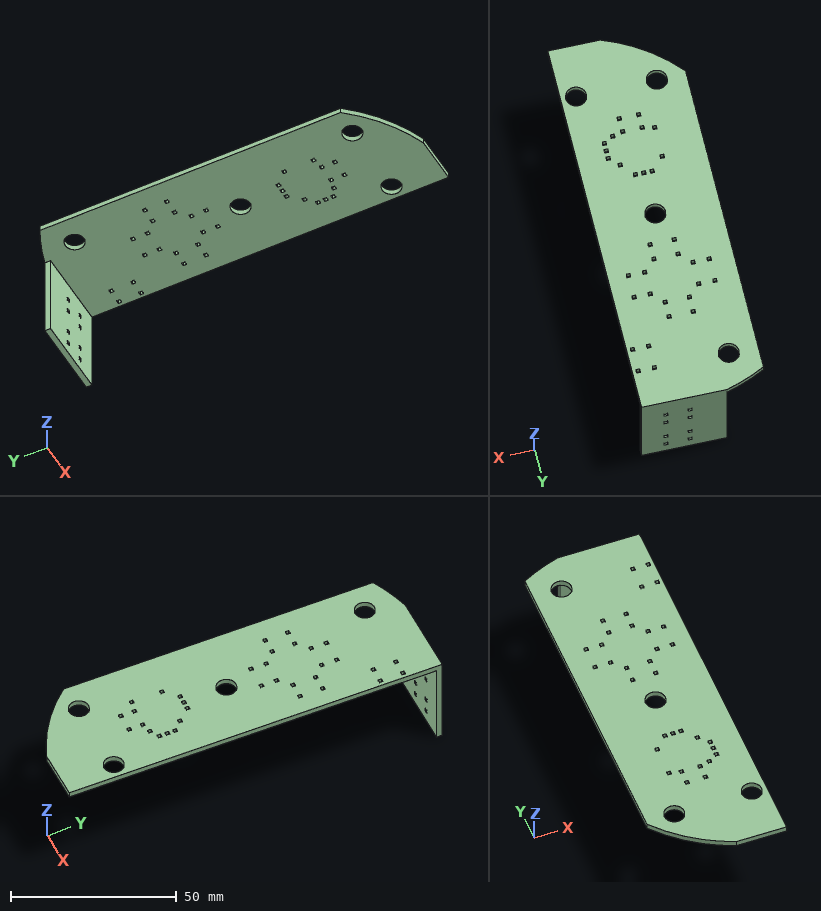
import cadquery as cq

plate_width = 39.0
plate_length = 124.0
overall_height = 32.0
sheet_thickness = 2.0

front_curve_start = (0.0, 16.1)
front_curve_middle = (11.5, 5.7)
front_curve_end = (22.8, 0.0)
rear_curve_start = (0.0, plate_length - 5.0)
rear_curve_middle = (6.0, plate_length - 2.2)
rear_curve_end = (12.5, plate_length)

flange_width = 26.5

mount_diameter = 6.3
mount_centers = [(9.2, 112.0), (20.0, 61.0), (9.2, 17.0), (34.2, 17.0)]

pilot_side = 1.1
group_short = 5.0
group_long = 7.5

corner_group_center = (34.65, 108.0)

cross_center = (20.15, 83.4)
cross_radius = 10.0

sensor_center = (20.0, 37.6)
sensor_hole_spacing = (13.0, 10.0)
header_pitch = 2.6
header_row_center = (20.2, 46.8)
header_column_center = (29.5, 37.0)
lower_group_center = (20.2, 29.5)
lower_group_spacing = (6.0, 4.5)

flange_group_x = 27.7
flange_group_depths = (10.95, 25.1)


def rectangle_points(center, spacing):
    """Corners of a rectangle of the given spacing about a centre."""
    half_x = spacing[0] / 2
    half_y = spacing[1] / 2
    return [(center[0] + sx * half_x, center[1] + sy * half_y) for sx in (-1, 1) for sy in (-1, 1)]


def cross_points():
    """Four rectangular groups, each with its short pitch along the arm of the cross."""
    x, y = cross_center
    points = []
    for side in (-1, 1):
        points += rectangle_points((x + side * cross_radius, y), (group_short, group_long))
        points += rectangle_points((x, y + side * cross_radius), (group_long, group_short))
    return points


def header_points():
    """Three holes in a row along X and three in a column along Y."""
    points = []
    for step in (-1, 0, 1):
        offset = step * header_pitch
        points.append((header_row_center[0] + offset, header_row_center[1]))
        points.append((header_column_center[0], header_column_center[1] + offset))
    return points


def make_plate():
    """Flat plate with its underside at Z = 0."""
    return (
        cq.Workplane("XY")
        .moveTo(*front_curve_start)
        .spline([front_curve_middle, front_curve_end], includeCurrent=True)
        .lineTo(plate_width, 0)
        .lineTo(plate_width, plate_length)
        .lineTo(*rear_curve_end)
        .threePointArc(rear_curve_middle, rear_curve_start)
        .close()
        .extrude(sheet_thickness)
    )


def make_flange():
    """Vertical tab under the rear edge, reaching up to the top face."""
    corner = (plate_width - flange_width, plate_length - sheet_thickness, sheet_thickness - overall_height)
    flange = cq.Workplane("XY").box(flange_width, sheet_thickness, overall_height, centered=False)
    return flange.translate(corner)


def mount_cutters():
    """Round holes through the plate."""
    return cq.Workplane("XY").pushPoints(mount_centers).circle(mount_diameter / 2).extrude(sheet_thickness)


def plate_pilot_cutters():
    """All square pilot holes through the plate."""
    points = rectangle_points(corner_group_center, (group_short, group_long))
    points += cross_points()
    points += rectangle_points(sensor_center, sensor_hole_spacing)
    points += header_points()
    points += rectangle_points(lower_group_center, lower_group_spacing)
    return cq.Workplane("XY").pushPoints(points).rect(pilot_side, pilot_side).extrude(sheet_thickness)


def flange_pilot_cutters():
    """Square pilot holes through the flange, along Y."""
    points = []
    for depth in flange_group_depths:
        center = (flange_group_x, sheet_thickness - depth)
        points += rectangle_points(center, (group_long, group_short))
    rear_plane = cq.Workplane("XZ", origin=(0, plate_length, 0))
    return rear_plane.pushPoints(points).rect(pilot_side, pilot_side).extrude(sheet_thickness)


result = make_plate().union(make_flange())
result = result.cut(mount_cutters())
result = result.cut(plate_pilot_cutters())
result = result.cut(flange_pilot_cutters())